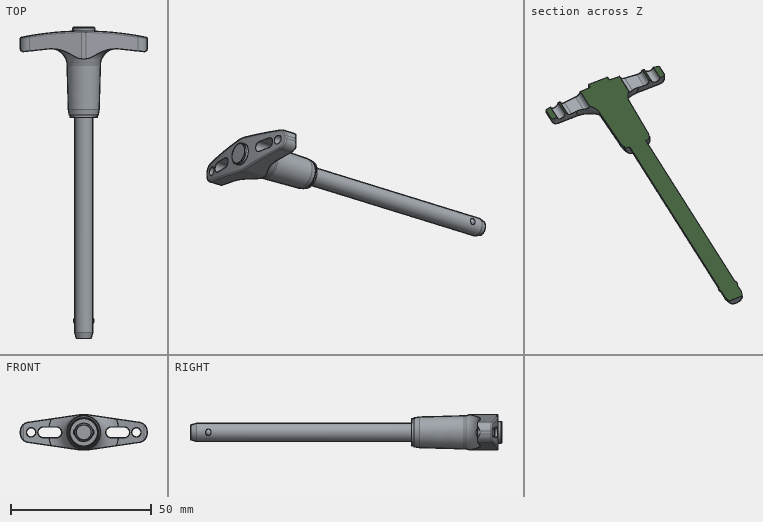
import cadquery as cq
import math

length = 110.7

handle_half_span = 22.6
handle_height = 12.7
handle_half_height = handle_height / 2
crown_half_width = 0.9
shoulder_x = 19.4
shoulder_half_height = 3.7
end_bulge_x = 21.8
end_bulge_z = 2.4
back_depth = 1.3
back_end_depth = 3.7
wing_root_depth = 6.4
wing_end_depth = 8.7
wing_corner_radius = 1.1
back_edge_radius = 0.5

flare_radius = 12.5
flare_wing_depth = 7.8
flare_root_depth = 5.5
flare_end_depth = 12.7

collar_radius = 6.0
collar_taper_depth = 13.4
collar_nose_depth = 29.2
collar_nose_radius = 5.5
collar_step_depth = 31.2
collar_step_radius = 5.2
ring_radius = 4.9
ring_end_depth = 32.1

button_diameter = 7.9
button_radius = button_diameter / 2
button_chamfer = 0.3

shaft_diameter = 6.5
shaft_radius = shaft_diameter / 2
tip_radius = 2.7
tip_length = 2.1

ball_radius = 1.4
ball_reach = 3.7
ball_to_tip = 6.3

slot_inner_x = 7.9
slot_outer_x = 16.3
slot_width = 3.8
hole_x = 18.7
hole_diameter = 3.2


def wings():
    """Curved-back bar, full height throughout."""
    wing_end = -wing_end_depth
    corner_x = handle_half_span - wing_corner_radius
    corner_y = wing_end + wing_corner_radius
    corner_offset = wing_corner_radius * math.sqrt(0.5)
    middle_x = corner_x + corner_offset
    middle_y = corner_y - corner_offset
    return (
        cq.Workplane("XY")
        .moveTo(-handle_half_span, -back_end_depth)
        .threePointArc((0, -back_depth), (handle_half_span, -back_end_depth))
        .lineTo(handle_half_span, corner_y)
        .threePointArc((middle_x, middle_y), (corner_x, wing_end))
        .lineTo(0, -wing_root_depth)
        .lineTo(-corner_x, wing_end)
        .threePointArc((-middle_x, middle_y), (-handle_half_span, corner_y))
        .close()
        .extrude(handle_half_height, both=True)
    )


def long_outline():
    """Tapered shape of the handle seen along the pin, as a prism."""
    return (
        cq.Workplane("XZ")
        .moveTo(-crown_half_width, handle_half_height)
        .lineTo(crown_half_width, handle_half_height)
        .lineTo(shoulder_x, shoulder_half_height)
        .threePointArc((end_bulge_x, end_bulge_z), (handle_half_span, 0))
        .threePointArc((end_bulge_x, -end_bulge_z), (shoulder_x, -shoulder_half_height))
        .lineTo(crown_half_width, -handle_half_height)
        .lineTo(-crown_half_width, -handle_half_height)
        .lineTo(-shoulder_x, -shoulder_half_height)
        .threePointArc((-end_bulge_x, -end_bulge_z), (-handle_half_span, 0))
        .threePointArc((-end_bulge_x, end_bulge_z), (-shoulder_x, shoulder_half_height))
        .close()
        .extrude(flare_end_depth)
    )


def flare():
    """Concave flare of revolution from the wings down to the collar."""
    run = flare_radius - collar_radius
    drop = flare_end_depth - flare_wing_depth
    middle = (
        flare_radius - run * math.sqrt(0.5),
        -flare_end_depth + drop * math.sqrt(0.5),
    )
    return (
        cq.Workplane("XY")
        .moveTo(0, -flare_root_depth)
        .lineTo(flare_radius, -flare_root_depth)
        .lineTo(flare_radius, -flare_wing_depth)
        .threePointArc(middle, (collar_radius, -flare_end_depth))
        .lineTo(0, -flare_end_depth)
        .close()
        .revolve(360, (0, 0, 0), (0, 1, 0))
    )


def handle():
    body = wings().intersect(long_outline())
    body = body.faces(">Y").edges().fillet(back_edge_radius)
    body = body.union(flare().intersect(long_outline()))
    slot_length = slot_outer_x - slot_inner_x
    slot_x = (slot_inner_x + slot_outer_x) / 2
    slots = (
        cq.Workplane("XZ")
        .pushPoints([(-slot_x, 0), (slot_x, 0)])
        .slot2D(slot_length, slot_width)
        .extrude(flare_end_depth)
    )
    holes = (
        cq.Workplane("XZ")
        .pushPoints([(-hole_x, 0), (hole_x, 0)])
        .circle(hole_diameter / 2)
        .extrude(flare_end_depth)
    )
    return body.cut(slots).cut(holes)


def spindle():
    """Button, collar, shaft and tip as one turned profile."""
    profile = [
        (0, 0),
        (button_radius - button_chamfer, 0),
        (button_radius, -button_chamfer),
        (button_radius, -flare_wing_depth),
        (collar_radius, -flare_end_depth),
        (collar_radius, -collar_taper_depth),
        (collar_nose_radius, -collar_nose_depth),
        (collar_step_radius, -collar_step_depth),
        (ring_radius, -collar_step_depth),
        (ring_radius, -ring_end_depth),
        (shaft_radius, -ring_end_depth),
        (shaft_radius, tip_length - length),
        (tip_radius, -length),
        (0, -length),
    ]
    return cq.Workplane("XY").polyline(profile).close().revolve(360, (0, 0, 0), (0, 1, 0))


def locking_balls():
    ball_x = ball_reach - ball_radius
    centers = [(-ball_x, ball_to_tip - length), (ball_x, ball_to_tip - length)]
    return cq.Workplane("XY").pushPoints(centers).sphere(ball_radius)


result = handle().union(spindle()).union(locking_balls())